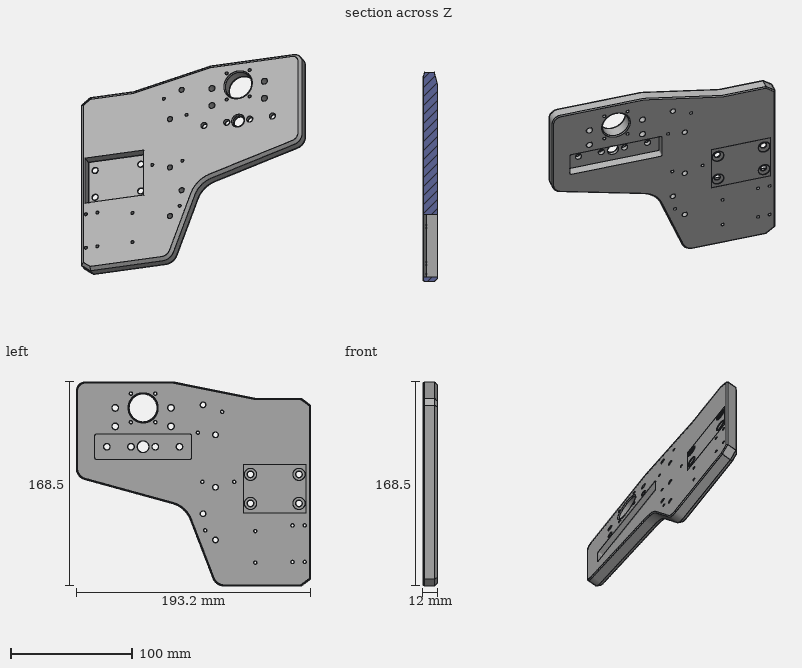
import cadquery as cq
thickness = 12.0
length = 193.2
height = 168.5
left_chamfer = 1.0
right_chamfer = 2.7
front_face = -thickness / 2

head_end = length / 2
foot_end = -length / 2
top = height / 2
bottom = -height / 2
head_corner_radius = 7.5
chin_corner_radius = 9.3
foot_corner_radius = 10.2
notch_radius = 22.0
slope_start = 16.8
slope_end = -50.8
shoulder_drop = 13.5
corner_cut_length = 7.7
corner_cut_height = 5.8
head_bottom = 5.6
notch_y = 6.5
notch_z = -19.1
foot_heel = -18.5

bore_y = 41.5
bore_z = 62.8
bore_diameter = 23.0
bore_chamfer = 1.0
small_diameter = 2.5
mount_diameter = 5.2
bore_pin_spacing_y = 20.0
bore_pin_spacing_z = 23.5
bore_mount_spacing = 46.0
bore_mount_drop = 15.3

pocket_z = 30.7
pocket_length = 80.0
pocket_height = 20.9
pocket_depth = 8.0
pocket_corner_radius = 1.5
pocket_bore_diameter = 9.5
pocket_inner_spacing = 20.0
pocket_outer_spacing = 59.9

cavity_y = -67.0
cavity_z = -4.0
cavity_length = 51.4
cavity_height = 40.2
skin_thickness = 0.5
web_start = 2.1
web_thickness = 0.8
web_hole_spacing_y = 40.0
web_hole_spacing_z = 24.0
access_diameter = 10.0

medium_diameter = 4.5
medium_points = [(-8.0, 65.3), (-18.2, 40.5), (-18.2, -2.7), (-8.0, -24.5), (-18.2, -46.2)]
small_points = [
    (-23.5, 59.5), (-3.7, 42.3), (-7.3, 1.7), (-33.6, 1.7),
    (-9.7, -38.3), (-51.0, -38.8), (-51.0, -65.0),
]
foot_pin_y = -86.7
foot_pin_z = -49.3
foot_pin_spacing_y = 10.0
foot_pin_spacing_z = 30.1


def grid(y, z, spacing_y, spacing_z):
    """Corners of a rectangle centred at (y, z)."""
    return [(y + i * spacing_y / 2, z + j * spacing_z / 2) for i in (-1, 1) for j in (-1, 1)]


def cylinders(points, diameter, depth=thickness):
    """Cylinders along X that reach the given depth below the -X face."""
    plane = cq.Workplane("YZ", origin=(front_face, 0, 0))
    return plane.pushPoints(points).circle(diameter / 2).extrude(depth)


def block(y, z, size_y, size_z, start, end):
    """Box centred at (y, z) between two depths below the -X face."""
    sketch = cq.Workplane("YZ", origin=(front_face + start, y, z)).rect(size_y, size_z)
    return sketch.extrude(end - start)


def corner_at(y, z):
    """Selector for the outline's corner edge at (y, z)."""
    return cq.selectors.NearestToPointSelector((0, y, z))


def chamfer_rim(plate, side, y, z):
    """Chamfer the rim of the bore at (y, z) on the plate face chosen by side."""
    face = plate.faces(side)
    rim = cq.selectors.NearestToPointSelector((face.val().Center().x, y, z))
    return face.edges(rim).chamfer(bore_chamfer)


def make_plate():
    outline = [
        (head_end, top),
        (slope_start, top),
        (slope_end, top - shoulder_drop),
        (foot_end + corner_cut_length, top - shoulder_drop),
        (foot_end, top - shoulder_drop - corner_cut_height),
        (foot_end, bottom + corner_cut_height),
        (foot_end + corner_cut_length, bottom),
        (foot_heel, bottom),
        (notch_y, notch_z),
        (head_end, head_bottom),
    ]
    plate = cq.Workplane("YZ", origin=(front_face, 0, 0)).polyline(outline).close().extrude(thickness)
    rounded_corners = [
        (head_end, top, head_corner_radius),
        (head_end, head_bottom, chin_corner_radius),
        (foot_heel, bottom, foot_corner_radius),
        (notch_y, notch_z, notch_radius),
    ]
    for y, z, radius in rounded_corners:
        plate = plate.edges(corner_at(y, z)).fillet(radius)
    plate = plate.faces("<X").chamfer(left_chamfer)
    return plate.faces(">X").chamfer(right_chamfer)


def cut_bore(plate):
    mounts = grid(bore_y, bore_z - bore_mount_drop / 2, bore_mount_spacing, bore_mount_drop)
    pins = grid(bore_y, bore_z, bore_pin_spacing_y, bore_pin_spacing_z)
    bore = cylinders([(bore_y, bore_z)], bore_diameter)
    plate = plate.cut(bore)
    plate = chamfer_rim(plate, "<X", bore_y, bore_z)
    plate = chamfer_rim(plate, ">X", bore_y, bore_z)
    return plate.cut(cylinders(mounts, mount_diameter)).cut(cylinders(pins, small_diameter))


def cut_pocket(plate):
    pocket = block(bore_y, pocket_z, pocket_length, pocket_height, 0, pocket_depth)
    pocket = pocket.edges("|X").fillet(pocket_corner_radius)
    spacings = (pocket_inner_spacing, pocket_outer_spacing)
    screws = [(bore_y + side * spacing / 2, pocket_z) for spacing in spacings for side in (-1, 1)]
    plate = plate.cut(pocket).cut(cylinders(screws, mount_diameter))
    plate = plate.cut(cylinders([(bore_y, pocket_z)], pocket_bore_diameter))
    return chamfer_rim(plate, ">X", bore_y, pocket_z)


def cut_cavity(plate):
    web_end = web_start + web_thickness
    points = grid(cavity_y, cavity_z, web_hole_spacing_y, web_hole_spacing_z)
    front_gap = block(cavity_y, cavity_z, cavity_length, cavity_height, skin_thickness, web_start)
    back_pocket = block(cavity_y, cavity_z, cavity_length, cavity_height, web_end, thickness)
    plate = plate.cut(front_gap).cut(back_pocket)
    plate = plate.cut(cylinders(points, access_diameter, skin_thickness))
    return plate.cut(cylinders(points, mount_diameter))


def cut_plain_holes(plate):
    pins = small_points + grid(foot_pin_y, foot_pin_z, foot_pin_spacing_y, foot_pin_spacing_z)
    return plate.cut(cylinders(medium_points, medium_diameter)).cut(cylinders(pins, small_diameter))


result = cut_plain_holes(cut_cavity(cut_pocket(cut_bore(make_plate()))))